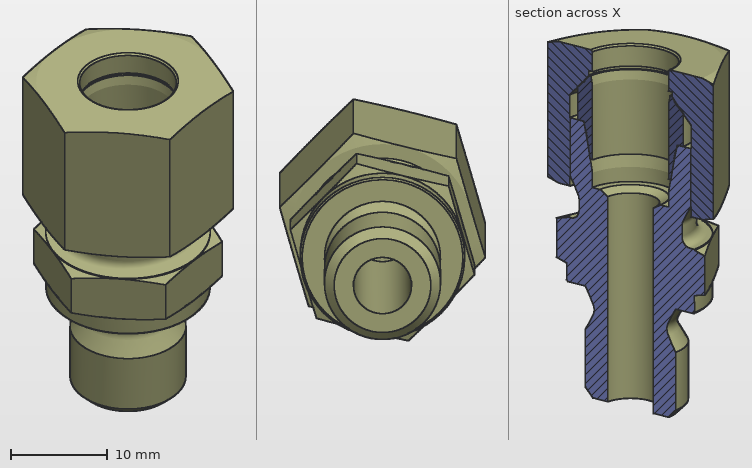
import cadquery as cq
import math


HEX_CHAMFER_ANGLE = math.radians(15)
RUNOUT_ANGLE = math.radians(30)
SEAT_ANGLE = math.radians(12)
RING_ENTRY_ANGLE = math.radians(12)
PASSAGE_MOUTH_ANGLE = math.radians(30)

stud_radius = 12 / 2
stud_tip_chamfer = 1.0
stud_length = 12.0
relief_radius = 9.7 / 2
relief_fillet = 1.3

body_hex_flats = 17.0
collar_radius = body_hex_flats / 2
collar_chamfer = 0.2
collar_top_z = stud_length + 2.0
body_hex_top_z = collar_top_z + 5.0
washer_face_top_z = body_hex_top_z + 0.1

neck_radius = 13.7 / 2
neck_fillet = 1.0
neck_top_z = body_hex_top_z + 2.32
thread_radius = 16 / 2
body_top_z = body_hex_top_z + 11.0

tube_radius = 10 / 2
passage_radius = 6 / 2
passage_mouth_radius = 8 / 2
cone_mouth_radius = 12.3 / 2
tube_stop_z = body_top_z - 7.0
passage_mouth_depth = (passage_mouth_radius - passage_radius) * math.tan(PASSAGE_MOUTH_ANGLE)

nut_hex_flats = 19.0
nut_bottom_z = 22.5
nut_top_z = 38.0
nut_rim_chamfer = 0.2
nut_lip_z = nut_top_z - 2.4

ring_radius = 14 / 2
ring_stub_radius = 5.5
ring_tip_z = body_top_z - 4.0
ring_top_z = nut_top_z - 2.85
ring_shoulder_top_z = nut_top_z - 3.0
ring_shoulder_z = ring_shoulder_top_z - (ring_radius - ring_stub_radius)
ring_entry_length = 1.02


def turned(outline):
    """Revolve a closed half section, drawn as (radius, height), about the Z axis."""
    return outline.close().revolve(360, (0, 0, 0), (0, 1, 0))


def half_section(points):
    return turned(cq.Workplane("XZ").polyline(points))


def hexagon(flats, bottom_z, top_z):
    """Hexagonal prism with two flats facing X and its corners turned off at both ends."""
    corner_radius = flats / math.sqrt(3)
    flat_radius = flats / 2
    drop = (corner_radius - flat_radius) * math.tan(HEX_CHAMFER_ANGLE)
    prism = (
        cq.Workplane("XY", origin=(0, 0, bottom_z))
        .polygon(6, 2 * corner_radius)
        .extrude(top_z - bottom_z)
        .rotate((0, 0, 0), (0, 0, 1), 30)
    )
    envelope = half_section([
        (0, bottom_z),
        (flat_radius, bottom_z),
        (corner_radius, bottom_z + drop),
        (corner_radius, top_z - drop),
        (flat_radius, top_z),
        (0, top_z),
    ])
    return prism.intersect(envelope)


def make_stud():
    """Stud with a tip chamfer, a rounded relief groove and the collar above it."""
    arc_half_height = relief_fillet * math.sin(RUNOUT_ANGLE)
    arc_end_radius = relief_radius + relief_fillet * (1 - math.cos(RUNOUT_ANGLE))
    cone_height = (stud_radius - arc_end_radius) / math.tan(RUNOUT_ANGLE)
    groove_z = stud_length - cone_height - arc_half_height
    outline = (
        cq.Workplane("XZ")
        .moveTo(0, 0)
        .lineTo(stud_radius - stud_tip_chamfer, 0)
        .lineTo(stud_radius, stud_tip_chamfer)
        .lineTo(stud_radius, groove_z - arc_half_height - cone_height)
        .lineTo(arc_end_radius, groove_z - arc_half_height)
        .threePointArc((relief_radius, groove_z), (arc_end_radius, groove_z + arc_half_height))
        .lineTo(stud_radius, stud_length)
        .lineTo(collar_radius - collar_chamfer, stud_length)
        .lineTo(collar_radius, stud_length + collar_chamfer)
        .lineTo(collar_radius, collar_top_z)
        .lineTo(0, collar_top_z)
    )
    return turned(outline)


def make_threaded_neck():
    """Round washer face and a filleted neck that widens through a run-out cone to the thread."""
    fillet_mid = neck_fillet * math.sqrt(0.5)
    arc_end_radius = neck_radius + neck_fillet * (1 - math.cos(RUNOUT_ANGLE))
    arc_end_z = neck_top_z + neck_fillet * math.sin(RUNOUT_ANGLE)
    arc_mid_radius = neck_radius + neck_fillet * (1 - math.cos(RUNOUT_ANGLE / 2))
    arc_mid_z = neck_top_z + neck_fillet * math.sin(RUNOUT_ANGLE / 2)
    thread_start_z = arc_end_z + (thread_radius - arc_end_radius) / math.tan(RUNOUT_ANGLE)
    root_z = washer_face_top_z + neck_fillet
    outline = (
        cq.Workplane("XZ")
        .moveTo(0, body_hex_top_z)
        .lineTo(collar_radius, body_hex_top_z)
        .lineTo(collar_radius, washer_face_top_z)
        .lineTo(neck_radius + neck_fillet, washer_face_top_z)
        .threePointArc(
            (neck_radius + neck_fillet - fillet_mid, root_z - fillet_mid),
            (neck_radius, root_z),
        )
        .lineTo(neck_radius, neck_top_z)
        .threePointArc((arc_mid_radius, arc_mid_z), (arc_end_radius, arc_end_z))
        .lineTo(thread_radius, thread_start_z)
        .lineTo(thread_radius, body_top_z)
        .lineTo(0, body_top_z)
    )
    return turned(outline)


def make_body_bore():
    """Passage with a conical mouth, tube socket and 24 degree cone."""
    cone_root_z = body_top_z - (cone_mouth_radius - tube_radius) / math.tan(SEAT_ANGLE)
    return half_section([
        (0, 0),
        (passage_radius, 0),
        (passage_radius, tube_stop_z - passage_mouth_depth),
        (passage_mouth_radius, tube_stop_z),
        (tube_radius, tube_stop_z),
        (tube_radius, cone_root_z),
        (cone_mouth_radius, body_top_z),
        (0, body_top_z),
    ])


def make_body():
    spanner_hex = hexagon(body_hex_flats, collar_top_z, body_hex_top_z)
    return make_stud().union(spanner_hex).union(make_threaded_neck()).cut(make_body_bore())


def make_nut():
    """Union nut: threaded cavity closed by a 45 degree cone that bears on the ring."""
    cone_base_z = ring_shoulder_top_z - (thread_radius - ring_stub_radius)
    cavity = half_section([
        (0, nut_bottom_z),
        (thread_radius, nut_bottom_z),
        (thread_radius, cone_base_z),
        (ring_stub_radius, ring_shoulder_top_z),
        (ring_stub_radius, nut_lip_z),
        (tube_radius, nut_lip_z),
        (tube_radius, nut_top_z - nut_rim_chamfer),
        (tube_radius + nut_rim_chamfer, nut_top_z),
        (0, nut_top_z),
    ])
    return hexagon(nut_hex_flats, nut_bottom_z, nut_top_z).cut(cavity)


def make_ring():
    """Cutting ring: its nose fills the body cone and its collar rests on the body."""
    nose_radius = cone_mouth_radius - (body_top_z - ring_tip_z) * math.tan(SEAT_ANGLE)
    entry_radius = tube_radius + ring_entry_length * math.tan(RING_ENTRY_ANGLE)
    return half_section([
        (tube_radius, ring_tip_z),
        (nose_radius, ring_tip_z),
        (cone_mouth_radius, body_top_z),
        (ring_radius, body_top_z),
        (ring_radius, ring_shoulder_z),
        (ring_stub_radius, ring_shoulder_top_z),
        (ring_stub_radius, ring_top_z),
        (entry_radius, ring_top_z),
        (tube_radius, ring_top_z - ring_entry_length),
    ])


body = make_body()
nut = make_nut()
ring = make_ring()

result = cq.Compound.makeCompound([*body.solids().vals(), *nut.solids().vals(), *ring.solids().vals()])